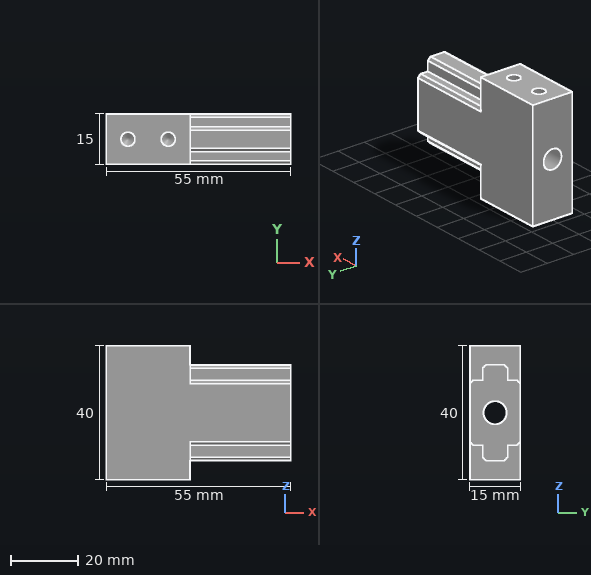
import cadquery as cq
import math

length = 55.0
width = 15.0
height = 40.0

head_length = 24.95
tongue_height = 28.55
rib_width = 7.5
shelf_height = 19.4
edge_chamfer = 1.05

bore_diameter = 6.8
pin_diameter = 4.2
pin_depth = 11.0
pin_tip_angle = 118.0
first_pin_x = 6.5
pin_spacing = 12.0


def make_head():
    return cq.Workplane("XY").box(head_length, width, height, centered=(False, True, True))


def make_chamfered_bar(bar_width, bar_height):
    """Full-length bar along X with its four long edges chamfered."""
    bar = cq.Workplane("XY").box(length, bar_width, bar_height, centered=(False, True, True))
    return bar.edges("|X").chamfer(edge_chamfer)


def make_drilled_hole(x):
    """Blind hole from the top face with a conical drill tip."""
    radius = pin_diameter / 2
    tip_depth = radius / math.tan(math.radians(pin_tip_angle / 2))
    profile = (
        cq.Workplane("XZ")
        .polyline([(0, 0), (radius, 0), (radius, -pin_depth), (0, -pin_depth - tip_depth)])
        .close()
    )
    hole = profile.revolve(360, (0, 0, 0), (0, 1, 0))
    return hole.translate((x, 0, height / 2))


tongue = make_chamfered_bar(width, shelf_height).union(make_chamfered_bar(rib_width, tongue_height))
body = make_head().union(tongue)

bore = cq.Workplane("YZ").circle(bore_diameter / 2).extrude(length)
body = body.cut(bore)

for pin_x in (first_pin_x, first_pin_x + pin_spacing):
    body = body.cut(make_drilled_hole(pin_x))

result = body